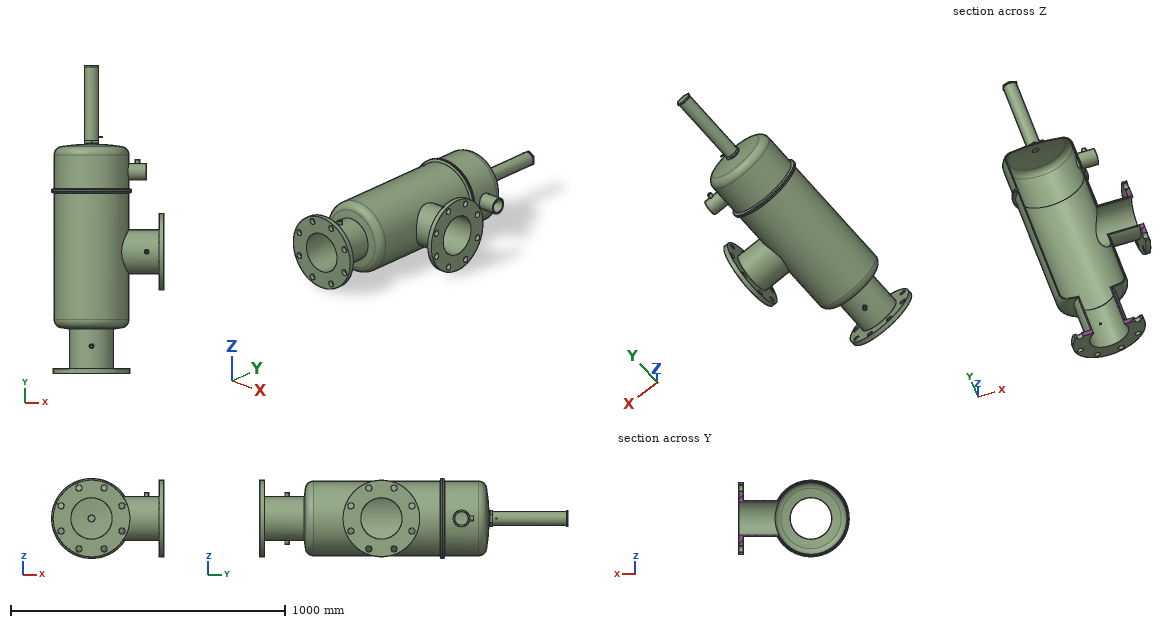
import cadquery as cq
import math


AXIS_START = (0, 0, 0)
AXIS_END = (0, 1, 0)

shell_radius = 136.5
wall = 6.0
lower_tangent_y = 197.0
upper_tangent_y = 798.0
joint_y = 666.0
knuckle_radius = 30.0
crown_radius = 674.0

ferrule_radius = 146.0
ferrule_rim = 5.0
ferrule_base = 9.0

nozzle_radius = 81.0
nozzle_bore_radius = 75.0
flange_radius = 139.9
flange_thickness = 18.0
bolt_circle_radius = 120.0
bolt_hole_radius = 11.0
bolt_count = 8
outlet_y = 444.0
outlet_face_x = 264.0

vent_y = 736.0
vent_radius = 30.0
vent_end_x = 200.0

socket_radius = 8.4
socket_bore_radius = 3.9
socket_height = 13.0
inlet_socket_y = 100.0
outlet_socket_x = 201.0
vent_socket_x = 167.0

overall_length = 1123.0
barrel_radius = 26.0
cap_across_flats = 2 * barrel_radius
rear_cap_thickness = 6.0
front_cap_thickness = 9.0
front_cap_y = 840.0
neck_radius = 20.0
rod_radius = 12.0
port_y = 863.0
port_radius = 2.0
port_end_x = 40.0

barrel_start_y = front_cap_y + front_cap_thickness
rear_cap_y = overall_length - rear_cap_thickness


def bar(start, direction, radius, length):
    """Round bar that runs from start along direction."""
    return cq.Workplane(cq.Solid.makeCylinder(radius, length, cq.Vector(*start), cq.Vector(*direction)))


def dished_half(tangent_y, inset):
    """Solid from the joint plane to a torispherical head, with its surface moved inward by inset."""
    outward = 1 if tangent_y > joint_y else -1
    radius = shell_radius - inset
    knuckle = knuckle_radius - inset
    crown = crown_radius - inset
    knuckle_centre_r = radius - knuckle
    tilt = math.asin(knuckle_centre_r / (crown - knuckle))
    crown_centre_h = -(crown - knuckle) * math.cos(tilt)

    def on_crown(angle):
        return crown * math.sin(angle), tangent_y + outward * (crown_centre_h + crown * math.cos(angle))

    def on_knuckle(angle):
        return knuckle_centre_r + knuckle * math.sin(angle), tangent_y + outward * knuckle * math.cos(angle)

    return (
        cq.Workplane("XY")
        .moveTo(0, joint_y)
        .lineTo(radius, joint_y)
        .lineTo(radius, tangent_y)
        .threePointArc(on_knuckle((tilt + math.pi / 2) / 2), on_knuckle(tilt))
        .threePointArc(on_crown(tilt / 2), on_crown(0))
        .close()
        .revolve(360, AXIS_START, AXIS_END)
    )


def ferrule(outward):
    """Half of the clamp rim: a flat joint face, a narrow rim and a taper down to the shell."""
    inner_radius = shell_radius - wall
    return (
        cq.Workplane("XY")
        .moveTo(inner_radius, joint_y)
        .lineTo(ferrule_radius, joint_y)
        .lineTo(ferrule_radius, joint_y + outward * ferrule_rim)
        .lineTo(shell_radius, joint_y + outward * ferrule_base)
        .lineTo(inner_radius, joint_y + outward * ferrule_base)
        .close()
        .revolve(360, AXIS_START, AXIS_END)
    )


def flange(face_centre, inward):
    """Bolted flange whose outer face is at face_centre; the bolt holes straddle the centre lines."""
    face = cq.Workplane(cq.Plane(origin=face_centre, xDir=(0, 0, 1), normal=inward))
    disc = face.circle(flange_radius).extrude(flange_thickness)
    bolt_holes = (
        face.polarArray(bolt_circle_radius, 180 / bolt_count, 360, bolt_count)
        .circle(bolt_hole_radius)
        .extrude(flange_thickness)
    )
    return disc.cut(bolt_holes)


def add_socket(pipe_body, seat, direction):
    """Weld a socket on a pipe at seat and drill it through the pipe wall."""
    root = (cq.Vector(*seat) - cq.Vector(*direction) * wall).toTuple()
    length = wall + socket_height
    drill_start = (cq.Vector(*seat) - cq.Vector(*direction) * 2 * wall).toTuple()
    drill = bar(drill_start, direction, socket_bore_radius, 2 * wall + socket_height)
    return pipe_body.union(bar(root, direction, socket_radius, length)).cut(drill)


def make_housing():
    outlet_centre = (0, outlet_y, 0)
    body = (
        dished_half(lower_tangent_y, 0)
        .union(ferrule(-1))
        .union(bar(AXIS_START, (0, 1, 0), nozzle_radius, lower_tangent_y))
        .union(flange(AXIS_START, (0, 1, 0)))
        .union(bar(outlet_centre, (1, 0, 0), nozzle_radius, outlet_face_x))
        .union(flange((outlet_face_x, outlet_y, 0), (-1, 0, 0)))
        .cut(dished_half(lower_tangent_y, wall))
        .cut(bar(AXIS_START, (0, 1, 0), nozzle_bore_radius, lower_tangent_y))
        .cut(bar(outlet_centre, (1, 0, 0), nozzle_bore_radius, outlet_face_x))
    )
    for side in (1, -1):
        body = add_socket(body, (0, inlet_socket_y, side * nozzle_radius), (0, 0, side))
    return add_socket(body, (outlet_socket_x, outlet_y, nozzle_radius), (0, 0, 1))


def make_lid():
    vent_centre = (0, vent_y, 0)
    body = (
        dished_half(upper_tangent_y, 0)
        .union(ferrule(1))
        .union(bar(vent_centre, (1, 0, 0), vent_radius, vent_end_x))
        .cut(dished_half(upper_tangent_y, wall))
        .cut(bar(vent_centre, (1, 0, 0), vent_radius - wall, vent_end_x))
        .cut(bar((0, joint_y, 0), (0, 1, 0), rod_radius, overall_length - joint_y))
    )
    return add_socket(body, (vent_socket_x, vent_y + vent_radius, 0), (0, 1, 0))


def hex_plate(start_y, thickness):
    """Hexagonal plate on the vessel axis with two corners on the Z axis."""
    across_corners = cap_across_flats / math.cos(math.pi / 6)
    plane = cq.Plane(origin=(0, start_y, 0), xDir=(0, 0, 1), normal=(0, 1, 0))
    return cq.Workplane(plane).polygon(6, across_corners).extrude(thickness)


def make_barrel():
    barrel = bar((0, barrel_start_y, 0), (0, 1, 0), barrel_radius, rear_cap_y - barrel_start_y)
    return barrel.union(bar((0, port_y, 0), (1, 0, 0), port_radius, port_end_x))


def make_front_cap():
    """Hexagonal cap with a round neck that stands on the crown of the lid."""
    neck = bar((0, upper_tangent_y, 0), (0, 1, 0), neck_radius, front_cap_y - upper_tangent_y)
    rod_hole = bar((0, upper_tangent_y, 0), (0, 1, 0), rod_radius, barrel_start_y - upper_tangent_y)
    return (
        hex_plate(front_cap_y, front_cap_thickness)
        .union(neck.cut(dished_half(upper_tangent_y, 0)))
        .cut(rod_hole)
    )


def make_rear_cap():
    return hex_plate(rear_cap_y, rear_cap_thickness)


def make_rod():
    """Rod from the barrel through the front cap and the lid, flush with the inside of the lid."""
    rod = bar((0, upper_tangent_y, 0), (0, 1, 0), rod_radius, barrel_start_y - upper_tangent_y)
    return rod.cut(dished_half(upper_tangent_y, wall))


housing = make_housing()
lid = make_lid()
barrel = make_barrel()
front_cap = make_front_cap()
rear_cap = make_rear_cap()
rod = make_rod()

result = cq.Compound.makeCompound(
    [housing.val(), lid.val(), barrel.val(), front_cap.val(), rear_cap.val(), rod.val()]
)